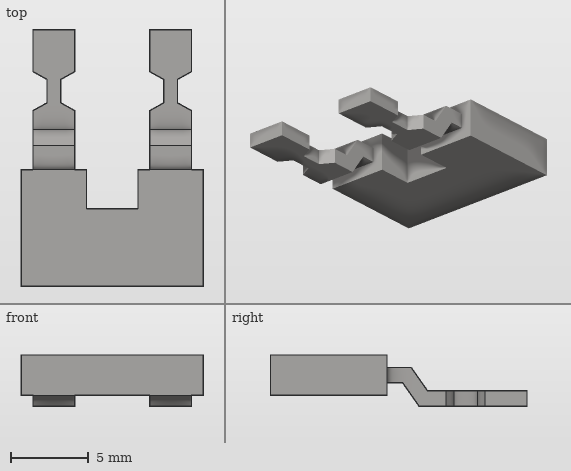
import cadquery as cq

body_width = 11.7
body_depth = 7.5
body_height = 2.6
notch_width = 3.3
notch_depth = 2.5

pin_length = 9.0
pin_width = 2.7
pin_thickness = 1.0
pin_drop = 1.5
arm_width = (body_width - notch_width) / 2
pin_spacing = body_width - arm_width

bend_top_start = 1.55
bend_bottom_start = 1.0
bend_run = 1.05

neck_width = 0.9
neck_start = 4.3
neck_end = 5.8
neck_taper = 0.5

upper_bottom = (body_height - pin_thickness) / 2
upper_top = upper_bottom + pin_thickness
lower_bottom = upper_bottom - pin_drop
lower_top = upper_top - pin_drop


def make_body():
    """Block with a rectangular notch in its rear face, which lies at Y = 0."""
    block = cq.Workplane("XY").box(body_width, body_depth, body_height, centered=(True, False, False))
    notch = cq.Workplane("XY").box(notch_width, notch_depth, body_height, centered=(True, False, False))
    return block.translate((0, -body_depth, 0)).cut(notch.translate((0, -notch_depth, 0)))


def make_pin():
    """Stepped pin centred on X = 0, starting at the rear face of the body."""
    side_profile = [
        (0, upper_bottom),
        (bend_bottom_start, upper_bottom),
        (bend_bottom_start + bend_run, lower_bottom),
        (pin_length, lower_bottom),
        (pin_length, lower_top),
        (bend_top_start + bend_run, lower_top),
        (bend_top_start, upper_top),
        (0, upper_top),
    ]
    pin = cq.Workplane("YZ").polyline(side_profile).close().extrude(pin_width / 2, both=True)
    for side in (-1, 1):
        pin = pin.cut(make_neck_cutter(side))
    return pin


def make_neck_cutter(side):
    """Trapezoidal prism that narrows one side of the pin down to the neck."""
    edge_x = side * pin_width / 2
    neck_x = side * neck_width / 2
    outline = [
        (edge_x, neck_start - neck_taper),
        (neck_x, neck_start),
        (neck_x, neck_end),
        (edge_x, neck_end + neck_taper),
    ]
    return cq.Workplane("XY").workplane(offset=lower_bottom).polyline(outline).close().extrude(pin_thickness)


result = make_body()
for arm_side in (-1, 1):
    result = result.union(make_pin().translate((arm_side * pin_spacing / 2, 0, 0)))